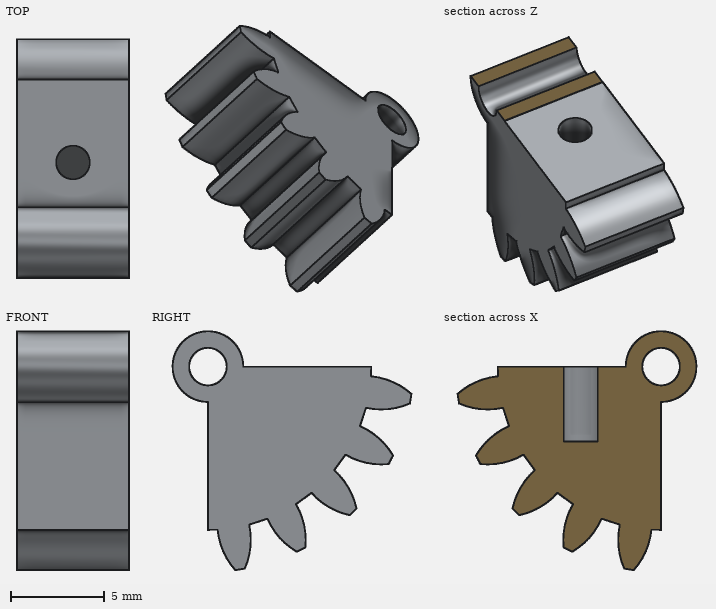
import cadquery as cq
import math

MODULE = 1.0
WHEEL_TEETH = 20
SECTOR_TEETH = 5
PITCH_ANGLE = 360 / WHEEL_TEETH
PITCH_RADIUS = MODULE * WHEEL_TEETH / 2
TIP_RADIUS = PITCH_RADIUS + MODULE
ROOT_DEPTH = 1.25 * MODULE
ROOT_RADIUS = PITCH_RADIUS - ROOT_DEPTH

ROOT_HALF_ANGLE = 5.65
PITCH_HALF_ANGLE = 4.15
TIP_HALF_ANGLE = 1.35

WIDTH = 6.0
HUB_RADIUS = 1.9
BORE_RADIUS = 1.0

HOLE_DIAMETER = 1.8
HOLE_DISTANCE = 4.3
HOLE_DEPTH = 4.0


def polar(radius, angle):
    """Point in the YZ plane; the angle runs from +Y down toward -Z."""
    radians = math.radians(angle)
    return radius * math.cos(radians), -radius * math.sin(radians)


def sector_profile():
    """Quarter sector with its teeth, drawn in the YZ plane around the pivot."""
    outline = cq.Workplane("YZ").workplane(offset=-WIDTH / 2)
    outline = outline.moveTo(0, 0).lineTo(ROOT_RADIUS, 0)
    for tooth in range(SECTOR_TEETH):
        middle = (tooth + 0.5) * PITCH_ANGLE
        outline = (
            outline
            .lineTo(*polar(ROOT_RADIUS, middle - ROOT_HALF_ANGLE))
            .threePointArc(
                polar(PITCH_RADIUS, middle - PITCH_HALF_ANGLE),
                polar(TIP_RADIUS, middle - TIP_HALF_ANGLE),
            )
            .lineTo(*polar(TIP_RADIUS, middle + TIP_HALF_ANGLE))
            .threePointArc(
                polar(PITCH_RADIUS, middle + PITCH_HALF_ANGLE),
                polar(ROOT_RADIUS, middle + ROOT_HALF_ANGLE),
            )
        )
    return outline.lineTo(0, -ROOT_RADIUS).close()


def pivot_cylinder(radius):
    """Cylinder on the pivot axis across the full width."""
    return cq.Workplane("YZ").workplane(offset=-WIDTH / 2).circle(radius).extrude(WIDTH)


def top_hole():
    """Flat-bottomed hole going down from the top face, midway across the width."""
    return (
        cq.Workplane("XY")
        .center(0, HOLE_DISTANCE)
        .circle(HOLE_DIAMETER / 2)
        .extrude(-HOLE_DEPTH)
    )


sector = sector_profile().extrude(WIDTH)
body = sector.union(pivot_cylinder(HUB_RADIUS))
result = body.cut(pivot_cylinder(BORE_RADIUS)).cut(top_hole())